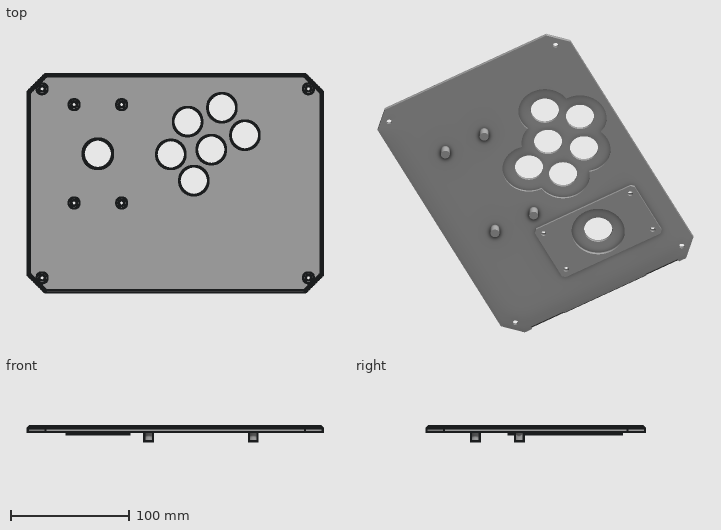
import cadquery as cq

length = 250.0
width = 185.0
thickness = 5.0
corner_cut = 15.0
edge_chamfer = 2.0

opening_diameter = 24.0
button_chamfer = 0.5
joystick_chamfer = 1.0
joystick_center = (-65.5, 25.0)
recess_diameter = 45.0
button_recess_top = 2.0
joystick_recess_top = 1.0
button_centers = [
    (39.5, 64.0),
    (10.5, 52.2),
    (59.0, 40.8),
    (30.5, 28.5),
    (-3.8, 24.5),
    (15.8, 2.2),
]

screw_diameter = 4.5
screw_head_diameter = 9.2
screw_head_angle = 90.0
corner_screw_spacing = (225.5, 160.0)
joystick_screw_spacing = (40.2, 83.2)

pad_length = 53.5
pad_width = 96.0
pad_depth = 2.0
pad_corner_cut = 2.5

standoff_diameter = 7.5
standoff_height = 8.0
standoff_spacing = (88.5, 37.2)
standoff_center = (21.8, -32.5)

grip_length = 31.2
grip_offset = 55.0
grip_height = 2.8
grip_run = 2.5
link_height = 1.8
link_run = 1.5


def corners_of(center, spacing):
    """The four corners of a rectangle with the given side lengths."""
    return [
        (center[0] + sx * spacing[0] / 2, center[1] + sy * spacing[1] / 2)
        for sx in (-1, 1)
        for sy in (-1, 1)
    ]


def cut_corner_block(size_x, size_y, height, cut):
    """A block standing on Z = 0 with its four upright edges cut at 45 degrees."""
    block = cq.Workplane("XY").box(size_x, size_y, height, centered=(True, True, False))
    return block.edges("|Z").chamfer(cut)


def edge_bevel(run, height, bevel_length, center_y):
    """A wedge that bevels a stretch of the lower -X edge."""
    edge_x = -length / 2
    return (
        cq.Workplane("XZ", origin=(0, center_y + bevel_length / 2, 0))
        .polyline([(edge_x, 0), (edge_x + run, 0), (edge_x, height)])
        .close()
        .extrude(bevel_length)
    )


plate = cut_corner_block(length, width, thickness, corner_cut)
plate = plate.faces(">Z").edges().chamfer(edge_chamfer)

pad = cut_corner_block(pad_length, pad_width, pad_depth, pad_corner_cut)
plate = plate.union(pad.translate((*joystick_center, -pad_depth)))

standoffs = (
    cq.Workplane("XY")
    .pushPoints(corners_of(standoff_center, standoff_spacing))
    .circle(standoff_diameter / 2)
    .extrude(-standoff_height)
)
plate = plate.union(standoffs)

for side in (-1, 1):
    plate = plate.cut(edge_bevel(grip_run, grip_height, grip_length, side * grip_offset))
plate = plate.cut(edge_bevel(link_run, link_height, 2 * grip_offset - grip_length, 0))


def opening(center, chamfer, recess_top):
    """A through opening with a chamfered upper rim and a wide recess below it."""
    radius = opening_diameter / 2
    recess_radius = recess_diameter / 2
    return (
        cq.Workplane("XZ")
        .polyline(
            [
                (0, -pad_depth),
                (recess_radius, -pad_depth),
                (recess_radius, recess_top),
                (radius, recess_top),
                (radius, thickness - chamfer),
                (radius + chamfer, thickness),
                (0, thickness),
            ]
        )
        .close()
        .revolve(360, (0, 0, 0), (0, 1, 0))
        .translate((*center, 0))
    )


for button_center in button_centers:
    plate = plate.cut(opening(button_center, button_chamfer, button_recess_top))
plate = plate.cut(opening(joystick_center, joystick_chamfer, joystick_recess_top))

screw_centers = corners_of((0, 0), corner_screw_spacing) + corners_of(joystick_center, joystick_screw_spacing)
result = (
    plate.faces(">Z")
    .workplane(origin=(0, 0, thickness))
    .pushPoints(screw_centers)
    .cskHole(screw_diameter, screw_head_diameter, screw_head_angle)
)